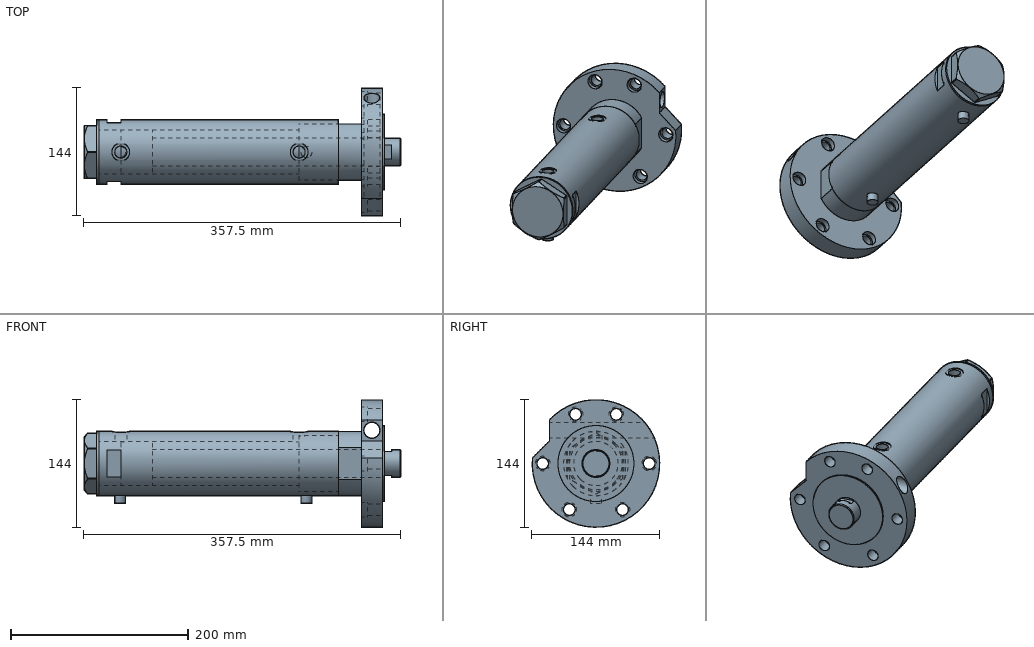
import cadquery as cq
import math


cap_hex_length = 14.3
cap_collar_length = 2.5
tube_start = cap_hex_length + cap_collar_length
rear_port_x = 41.5
front_port_x = 242.7
tube_end = 287.0
flange_start = 312.8
flange_thickness = 24.0
flange_end = flange_start + flange_thickness
boss_thickness = 2.0
boss_end = flange_end + boss_thickness
overall_length = 357.5

tube_radius = 36.5
bore_radius = 25.0
wrench_flat_start = 26.0
wrench_flat_length = 15.5
wrench_flat_offset = 33.2

port_positions = (rear_port_x, front_port_x)
port_radius = 6.8
port_seat_radius = 10.0
port_seat_depth = 1.18

peg_positions = (40.8, 251.0)
peg_diameter = 12.5
peg_radius = peg_diameter / 2
peg_tip_depth = 45.0

hex_across_flats = 60.0
hex_across_corners = hex_across_flats / math.cos(math.radians(30))
hex_corner_radius = 34.3
cap_face_radius = 29.5
cap_bevel_length = 4.0

gland_radius = 31.5
neck_flat_offset = 31.8
flange_diameter = 144.0
flange_radius = flange_diameter / 2
boss_radius = 43.0

bolt_circle_radius = 60.0
bolt_angles = (0, 67.5, 112.5, 180, 240, 300)
bolt_hole_radius = 6.5
bolt_recess_radius = 8.2
bolt_recess_depth = 7.0
cross_hole_radius = 9.0
cross_hole_height = 37.5

notch_wall_offset = 52.5
notch_corner_height = 25.5

piston_length = 35.8
piston_end = rear_port_x + piston_length
rod_radius = 15.7
rod_chamfer = 1.0
rod_flat_offset = 13.5
rod_flat_length = 8.2


def cylinder(start, end, radius):
    """Solid cylinder on the main axis between two X stations."""
    return cq.Workplane("YZ").workplane(offset=start).circle(radius).extrude(end - start)


def slab(start, end, half_width):
    """Plate between two X stations, limited in Y and wider than any body in Z."""
    return (
        cq.Workplane("YZ")
        .workplane(offset=start)
        .rect(2 * half_width, 2 * flange_radius)
        .extrude(end - start)
    )


def flatted_cylinder(start, end, radius, flat_offset):
    """Cylinder with a pair of flats facing +Y and -Y."""
    return cylinder(start, end, radius).intersect(slab(start, end, flat_offset))


def make_cap():
    """Hexagonal cap with a collar and a plug that closes the bore."""
    hexagon = (
        cq.Workplane("YZ")
        .transformed(rotate=(0, 0, 90))
        .polygon(6, hex_across_corners)
        .extrude(cap_hex_length)
    )
    turned_profile = (
        cq.Workplane("XY")
        .moveTo(0, 0)
        .lineTo(0, cap_face_radius)
        .lineTo(cap_bevel_length, hex_corner_radius)
        .lineTo(cap_hex_length, hex_corner_radius)
        .lineTo(cap_hex_length, 0)
        .close()
    )
    turned_blank = turned_profile.revolve(360, (0, 0, 0), (1, 0, 0))
    collar = cylinder(cap_hex_length, tube_start, tube_radius)
    plug = cylinder(tube_start, rear_port_x, bore_radius)
    return hexagon.intersect(turned_blank).union(collar).union(plug)


def make_tube():
    """Barrel with wrench flats, two oil ports and two pegs."""
    tube = cylinder(tube_start, tube_end, tube_radius)

    flat_end = wrench_flat_start + wrench_flat_length
    flatted_band = flatted_cylinder(wrench_flat_start, flat_end, tube_radius, wrench_flat_offset)
    tube = tube.cut(cylinder(wrench_flat_start, flat_end, tube_radius)).union(flatted_band)

    for x in peg_positions:
        peg = cq.Workplane("XY").center(x, 0).circle(peg_radius).extrude(-peg_tip_depth)
        tube = tube.union(peg)

    tube = tube.cut(cylinder(tube_start, front_port_x, bore_radius))
    tube = tube.cut(cylinder(front_port_x, tube_end, gland_radius))

    seat_height = tube_radius - port_seat_depth
    for x in port_positions:
        port = cq.Workplane("XY").center(x, 0).circle(port_radius).extrude(tube_radius)
        seat = (
            cq.Workplane("XY")
            .workplane(offset=seat_height)
            .center(x, 0)
            .circle(port_seat_radius)
            .extrude(port_seat_depth)
        )
        tube = tube.cut(port).cut(seat)
    return tube


def make_flange():
    """Round flange with a side notch, six bolt holes and a cross hole."""
    flange = cylinder(flange_start, flange_end, flange_radius)

    slope_run = flange_radius - notch_wall_offset
    notch = (
        cq.Workplane("YZ")
        .workplane(offset=flange_start)
        .moveTo(-notch_wall_offset, flange_radius)
        .lineTo(-notch_wall_offset, notch_corner_height)
        .lineTo(-flange_radius, notch_corner_height - slope_run)
        .lineTo(-flange_radius, flange_radius)
        .close()
        .extrude(flange_thickness)
    )

    cross_hole = (
        cq.Workplane("XZ")
        .center(flange_start + flange_thickness / 2, cross_hole_height)
        .circle(cross_hole_radius)
        .extrude(flange_radius, both=True)
    )
    flange = flange.cut(notch).cut(cross_hole)

    for angle in bolt_angles:
        bolt_y = bolt_circle_radius * math.cos(math.radians(angle))
        bolt_z = bolt_circle_radius * math.sin(math.radians(angle))
        bolt_axis = cq.Workplane("YZ").workplane(offset=flange_start).center(bolt_y, bolt_z)
        hole = bolt_axis.circle(bolt_hole_radius).extrude(flange_thickness)
        recess = bolt_axis.circle(bolt_recess_radius).extrude(bolt_recess_depth)
        flange = flange.cut(hole).cut(recess)
    return flange


def make_head():
    """Gland, flatted neck, flange and boss, bored for the rod."""
    gland = cylinder(front_port_x, tube_end, gland_radius)
    neck = flatted_cylinder(tube_end, flange_start, tube_radius, neck_flat_offset)
    boss = cylinder(flange_end, boss_end, boss_radius)
    head = gland.union(neck).union(make_flange()).union(boss)
    return head.cut(cylinder(front_port_x, boss_end, rod_radius))


def make_piston():
    """Plain piston, fully retracted against the cap plug."""
    return cylinder(rear_port_x, piston_end, bore_radius)


def make_rod():
    """Rod from the piston through the head, with two flats just outside the boss."""
    rod = cylinder(piston_end, overall_length, rod_radius).faces(">X").chamfer(rod_chamfer)
    flat_depth = rod_radius - rod_flat_offset
    flat_middle_x = boss_end + rod_flat_length / 2
    for side in (-1, 1):
        flat_cutter = cq.Workplane("XY").box(rod_flat_length, 2 * rod_radius, flat_depth)
        flat_middle_z = side * (rod_flat_offset + flat_depth / 2)
        rod = rod.cut(flat_cutter.translate((flat_middle_x, 0, flat_middle_z)))
    return rod


cap = make_cap()
tube = make_tube()
head = make_head()
piston = make_piston()
rod = make_rod()

result = cq.Compound.makeCompound([cap.val(), tube.val(), head.val(), piston.val(), rod.val()])